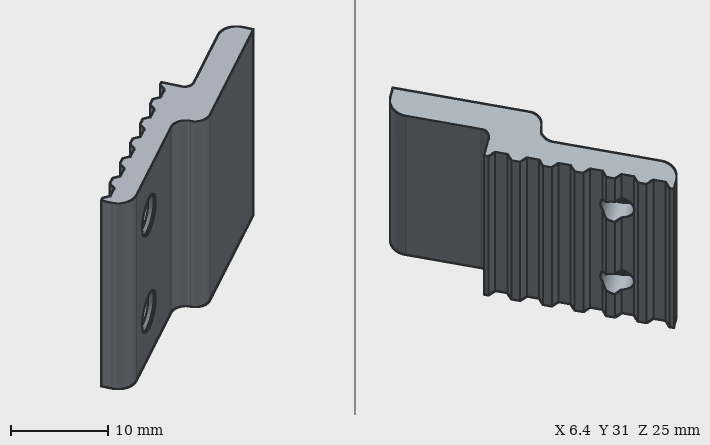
import cadquery as cq

length = 31.0
height = 25.0
leg_thickness = 3.2
total_thickness = 2 * leg_thickness

lower_leg_length = 20.0
upper_leg_start = 15.0
tip_radius = 2.0
step_radius = 1.0
offset_radius = leg_thickness / 2
fillet_clearance = 0.003

groove_count = 6
groove_depth = 0.68
ridge_width = 0.93
groove_flank_width = 0.55
groove_pitch = lower_leg_length / groove_count

hole_diameter = 3.6
countersink_diameter = 4.5
countersink_depth = (countersink_diameter - hole_diameter) / 2
recess_depth = 0.22
hole_tip_distance = 6.1
hole_end_distance = 6.0


def offset_plate():
    """Two parallel legs joined where they overlap, with rounded corners."""
    lower_leg = cq.Workplane("XY").box(leg_thickness, lower_leg_length, height, centered=False)
    upper_leg = (
        cq.Workplane("XY")
        .box(leg_thickness, length - upper_leg_start, height, centered=False)
        .translate((leg_thickness, upper_leg_start, 0))
    )
    plate = lower_leg.union(upper_leg)

    rounded_corners = [
        (leg_thickness, 0, tip_radius),
        (leg_thickness, length, tip_radius),
        (leg_thickness, lower_leg_length, step_radius),
        (leg_thickness, upper_leg_start, offset_radius),
        (total_thickness, upper_leg_start, offset_radius - fillet_clearance),
    ]
    for x, y, radius in rounded_corners:
        corner = cq.selectors.NearestToPointSelector((x, y, height / 2))
        plate = plate.edges(corner).fillet(radius)
    return plate


def grip_groove(start_y):
    """Trapezoidal groove over the full height, between two half ridges."""
    mouth_start = start_y + ridge_width / 2
    mouth_end = start_y + groove_pitch - ridge_width / 2
    return (
        cq.Workplane("XY")
        .moveTo(0, mouth_start)
        .lineTo(groove_depth, mouth_start + groove_flank_width)
        .lineTo(groove_depth, mouth_end - groove_flank_width)
        .lineTo(0, mouth_end)
        .close()
        .extrude(height)
    )


def screw_hole(center_z):
    """Stepped round cutter revolved about an axis parallel to X."""
    hole_radius = hole_diameter / 2
    countersink_radius = countersink_diameter / 2
    recess_floor = leg_thickness - recess_depth
    return (
        cq.Workplane("XY")
        .moveTo(0, 0)
        .lineTo(0, hole_radius)
        .lineTo(recess_floor - countersink_depth, hole_radius)
        .lineTo(recess_floor, countersink_radius)
        .lineTo(leg_thickness, countersink_radius)
        .lineTo(leg_thickness, 0)
        .close()
        .revolve(360, (0, 0, 0), (1, 0, 0))
        .translate((0, hole_tip_distance, center_z))
    )


result = offset_plate()

for index in range(groove_count):
    result = result.cut(grip_groove(index * groove_pitch))

for hole_z in (hole_end_distance, height - hole_end_distance):
    result = result.cut(screw_hole(hole_z))